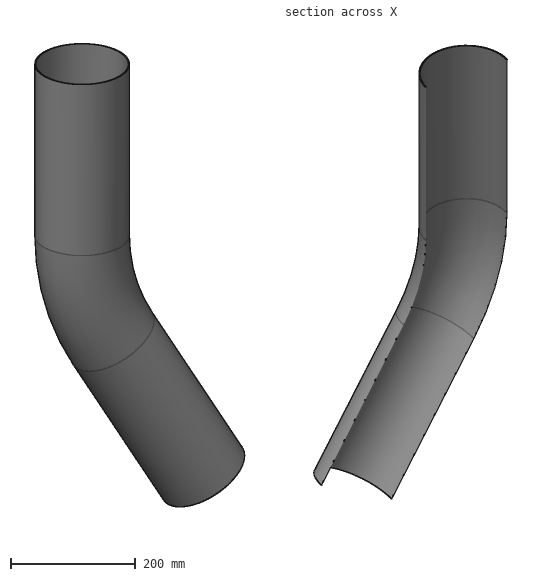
import cadquery as cq
import math

outer_diameter = 152.0
inner_diameter = 148.0
straight_length = 304.5
bend_radius = 382.0
bend_angle = 30.0


def centreline_point(angle):
    """Return the (Y, Z) point of the bend arc at an angle from its upper end."""
    turn = math.radians(angle)
    return bend_radius * (1 - math.cos(turn)), -bend_radius * math.sin(turn)


bend_start = centreline_point(0)
bend_middle = centreline_point(bend_angle / 2)
bend_end = centreline_point(bend_angle)
lower_end = (
    bend_end[0] + straight_length * math.sin(math.radians(bend_angle)),
    bend_end[1] - straight_length * math.cos(math.radians(bend_angle)),
)
centreline = (
    cq.Workplane("YZ")
    .moveTo(0, straight_length)
    .lineTo(*bend_start)
    .threePointArc(bend_middle, bend_end)
    .lineTo(*lower_end)
)

result = (
    cq.Workplane("XY")
    .workplane(offset=straight_length)
    .circle(outer_diameter / 2)
    .circle(inner_diameter / 2)
    .sweep(centreline)
)